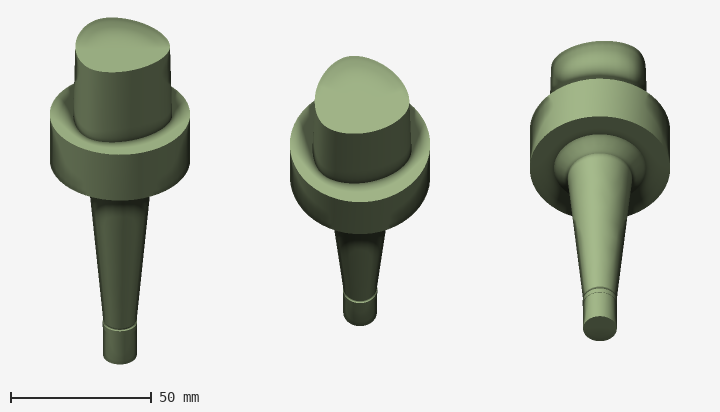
import cadquery as cq
import math

PIN_TOP = 12.6
BEAD_TOP = 14.6
GROOVE_TOP = 15.3
NECK_BOTTOM = 15.75
FLANGE_THICKNESS = 20.0
SHANK_LENGTH = 30.0
TOTAL_LENGTH = 135.0
FLANGE_TOP = TOTAL_LENGTH - SHANK_LENGTH
FLANGE_BOTTOM = FLANGE_TOP - FLANGE_THICKNESS
COLLAR_HEIGHT = 4.8
NECK_TOP = FLANGE_BOTTOM - COLLAR_HEIGHT

PIN_DIAMETER = 12.0
BEAD_DIAMETER = 12.3
GROOVE_DIAMETER = 10.5
NECK_TIP_DIAMETER = 12.0
NECK_ROOT_DIAMETER = 23.15
COLLAR_ROOT_DIAMETER = NECK_ROOT_DIAMETER + 2 * COLLAR_HEIGHT
FLANGE_DIAMETER = 49.98

SHANK_BASE_WIDTH = 35.2
SHANK_TAPER = 1 / 20
SHANK_TIP_WIDTH = SHANK_BASE_WIDTH - SHANK_TAPER * SHANK_LENGTH
LOBES = 3
LOBE_ECCENTRICITY = 1.0
OUTLINE_POINTS = 36


def turned_body():
    """Pin, bead, groove with a sloped upper wall, conical neck, collar and flange, turned about Z."""
    steps = [
        (PIN_DIAMETER, 0),
        (PIN_DIAMETER, PIN_TOP),
        (BEAD_DIAMETER, PIN_TOP),
        (BEAD_DIAMETER, BEAD_TOP),
        (GROOVE_DIAMETER, BEAD_TOP),
        (GROOVE_DIAMETER, GROOVE_TOP),
        (NECK_TIP_DIAMETER, NECK_BOTTOM),
        (NECK_ROOT_DIAMETER, NECK_TOP),
        (COLLAR_ROOT_DIAMETER, FLANGE_BOTTOM),
        (FLANGE_DIAMETER, FLANGE_BOTTOM),
        (FLANGE_DIAMETER, FLANGE_TOP),
    ]
    profile = cq.Workplane("XZ").moveTo(0, 0)
    for diameter, height in steps:
        profile = profile.lineTo(diameter / 2, height)
    return profile.lineTo(0, FLANGE_TOP).close().revolve(360, (0, 0, 0), (0, 1, 0))


def lobed_point(width, fraction):
    """Outline point where the outward normal has turned by a fraction of a full turn."""
    angle = 2 * math.pi * fraction
    support = width / 2 + LOBE_ECCENTRICITY * math.sin(LOBES * angle)
    slope = LOBES * LOBE_ECCENTRICITY * math.cos(LOBES * angle)
    x = support * math.cos(angle) - slope * math.sin(angle)
    y = support * math.sin(angle) + slope * math.cos(angle)
    return x, y


def lobed_wire(width, height):
    """Closed smooth outline of the shank at a given height."""
    points = [lobed_point(width, i / OUTLINE_POINTS) for i in range(OUTLINE_POINTS)]
    outline = cq.Workplane("XY").workplane(offset=height).spline(points, periodic=True)
    return outline.wire().val()


def lobed_shank():
    """Tapered three-lobed shank standing on the flange."""
    base = lobed_wire(SHANK_BASE_WIDTH, FLANGE_TOP)
    tip = lobed_wire(SHANK_TIP_WIDTH, TOTAL_LENGTH)
    return cq.Workplane(cq.Solid.makeLoft([base, tip], True))


result = turned_body().union(lobed_shank())